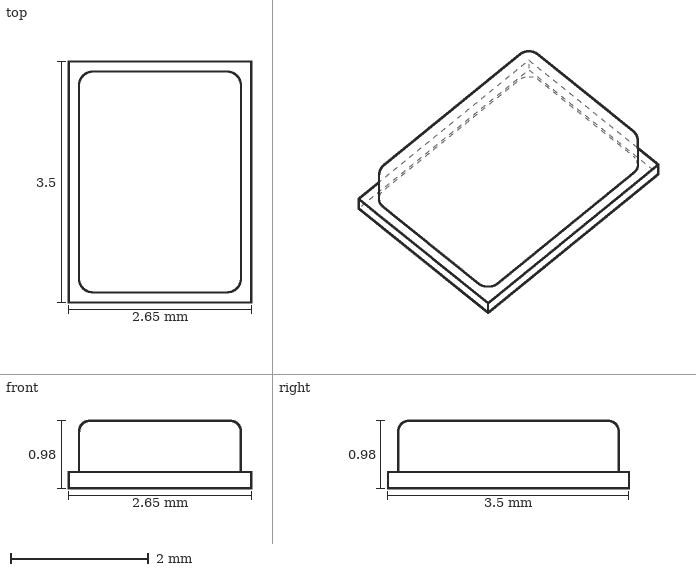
import cadquery as cq

base_width = 2.65
base_length = 3.5
base_height = 0.238

total_height = 0.98
lid_margin = 0.15
lid_corner_radius = 0.2
lid_top_radius = 0.158
lid_width = base_width - 2 * lid_margin
lid_length = base_length - 2 * lid_margin
lid_height = total_height - base_height


def make_base():
    """Flat rectangular plate resting on Z = 0."""
    return cq.Workplane("XY").box(base_width, base_length, base_height, centered=(True, True, False))


def make_lid():
    """Cap with rounded vertical corners and a rounded top rim."""
    return (
        cq.Workplane("XY")
        .workplane(offset=base_height)
        .box(lid_width, lid_length, lid_height, centered=(True, True, False))
        .edges("|Z")
        .fillet(lid_corner_radius)
        .faces(">Z")
        .edges()
        .fillet(lid_top_radius)
    )


result = make_base().union(make_lid())